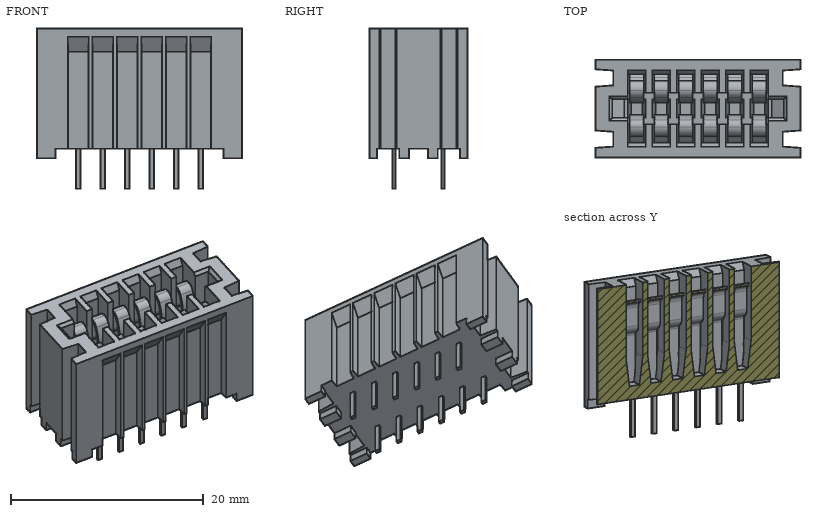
import cadquery as cq
import math


length = 21.3
width = 10.16
height = 13.5
foot_height = 1.0
foot_length = 1.95
outer_foot_width = 0.8
inner_foot_inner_y = 0.98
inner_foot_outer_y = 2.0

notch_depth = 1.86
notch_mouth = (2.28, 4.06)
notch_bottom = (2.42, 3.93)

contact_count = 6
contact_pitch = 2.54
row_y = 2.54
contact_x = [(i - (contact_count - 1) / 2) * contact_pitch for i in range(contact_count)]

card_slot_length = 17.74
card_slot_width = 1.92
card_slot_chamfer_x = 0.35
card_slot_chamfer_y = 0.3
card_slot_chamfer_height = 0.33
card_stop_z = 5.5
end_ramp_length = 1.2
end_ramp_angle = 30

cavity_width = 1.9
cavity_outer_y = 3.56
cavity_mouth_y = 3.98
cavity_mouth_height = 0.78
rib_gap_half_width = 1.62
well_floor_width = 1.12
well_depth = 3.0
well_floor_z = card_stop_z - well_depth

groove_mouth_width = 2.2
groove_back_width = 2.05
groove_depth = 0.91
groove_top_z = height - 0.87
groove_slope_height = 1.57

strip_width = 1.45
strip_thickness = 0.3
hump_y = 1.91
hump_outer_radius = 0.8
hump_inner_radius = 0.71
hump_top_z = height - 1.76 - strip_thickness / 2
hump_inner_angle = 62
arm_innermost_y = 0.62 + strip_thickness / 2
jog_angle = 62
jog_upper_radius = 0.85
hump_leg_length = 2.0

pin_width = 0.48
pin_thickness = 0.32
pin_length = 3.15


def centred_box(size_x, size_y, z_low, z_high, x=0, y=0):
    block = cq.Workplane("XY").box(size_x, size_y, z_high - z_low, centered=(True, True, False))
    return block.translate((x, y, z_low))


def both_rows(solid):
    return solid.union(solid.mirror("XZ"))


def at_every_contact(solid):
    places = cq.Workplane("XY").pushPoints([(x, 0) for x in contact_x])
    return places.eachpoint(lambda place: solid.val().moved(place), combine=True)


def housing_blank():
    body = centred_box(length, width, foot_height, height)
    outer_foot_y = width / 2 - outer_foot_width / 2
    inner_foot_y = (inner_foot_inner_y + inner_foot_outer_y) / 2
    inner_foot_width = inner_foot_outer_y - inner_foot_inner_y
    foot_x = (length - foot_length) / 2
    for x in (-foot_x, foot_x):
        for y, foot_width in ((outer_foot_y, outer_foot_width), (inner_foot_y, inner_foot_width)):
            body = body.union(both_rows(centred_box(foot_length, foot_width, 0, foot_height, x, y)))
    return body


def end_notches():
    mouth_x = length / 2
    bottom_x = mouth_x - notch_depth
    outline = [
        (mouth_x, notch_mouth[0]),
        (mouth_x, notch_mouth[1]),
        (bottom_x, notch_bottom[1]),
        (bottom_x, notch_bottom[0]),
    ]
    notch = both_rows(cq.Workplane("XY").polyline(outline).close().extrude(height))
    return notch.union(notch.mirror("YZ"))


def card_slot():
    slot = centred_box(card_slot_length, card_slot_width, card_stop_z, height)
    mouth_length = card_slot_length + 2 * card_slot_chamfer_x
    mouth_width = card_slot_width + 2 * card_slot_chamfer_y
    lead_in = (
        cq.Workplane("XY", origin=(0, 0, height - card_slot_chamfer_height))
        .rect(card_slot_length, card_slot_width)
        .workplane(offset=card_slot_chamfer_height)
        .rect(mouth_length, mouth_width)
        .loft()
    )
    end_x = card_slot_length / 2
    ramp_rise = end_ramp_length * math.tan(math.radians(end_ramp_angle))
    ramp_outline = [
        (end_x, card_stop_z),
        (end_x, card_stop_z + ramp_rise),
        (end_x - end_ramp_length, card_stop_z),
    ]
    ramp = cq.Workplane("XZ").polyline(ramp_outline).close().extrude(card_slot_width / 2, both=True)
    return slot.union(lead_in).cut(ramp).cut(ramp.mirror("YZ"))


def rib_gap():
    """Opening between the rib ends of the two rows, above the card stop."""
    gap_length = (contact_count - 1) * contact_pitch + cavity_width
    return centred_box(gap_length, 2 * rib_gap_half_width, card_stop_z, height)


def cavity():
    """Upper part of one cavity, crossing both rows, with sloped mouths at the outer walls."""
    outline = [
        (0, card_stop_z),
        (cavity_outer_y, card_stop_z),
        (cavity_outer_y, height - cavity_mouth_height),
        (cavity_mouth_y, height),
        (0, height),
    ]
    half = cq.Workplane("YZ").polyline(outline).close().extrude(cavity_width / 2, both=True)
    return both_rows(half)


def well(y_low, y_high):
    """Lower part of a cavity, whose side walls close in towards the floor."""
    outline = [
        (-cavity_width / 2, card_stop_z),
        (cavity_width / 2, card_stop_z),
        (well_floor_width / 2, well_floor_z),
        (-well_floor_width / 2, well_floor_z),
    ]
    section = cq.Workplane("XZ", origin=(0, y_high, 0)).polyline(outline).close()
    return section.extrude(y_high - y_low)


def side_groove():
    mouth_y = width / 2
    back_y = mouth_y - groove_depth
    plan = [
        (-groove_mouth_width / 2, mouth_y),
        (groove_mouth_width / 2, mouth_y),
        (groove_back_width / 2, back_y),
        (-groove_back_width / 2, back_y),
    ]
    side = [
        (mouth_y, foot_height),
        (mouth_y, groove_top_z),
        (back_y, groove_top_z - groove_slope_height),
        (back_y, foot_height),
    ]
    channel = cq.Workplane("XY").polyline(plan).close().extrude(height)
    limits = cq.Workplane("YZ").polyline(side).close().extrude(groove_mouth_width, both=True)
    return both_rows(channel.intersect(limits))


def spring_contact():
    """Strip rising along the outer wall, jogging inwards, arching over and hanging down."""
    leg_y = cavity_outer_y - strip_thickness / 2
    hump_outer_y = hump_y + hump_outer_radius
    hump_outer_z = hump_top_z - hump_outer_radius

    jog_top_z = hump_outer_z - hump_leg_length
    jog_cos = math.cos(math.radians(jog_angle))
    jog_sin = math.sin(math.radians(jog_angle))
    lower_jog_radius = (leg_y - hump_outer_y) / (1 - jog_cos) - jog_upper_radius
    jog_middle_y = hump_outer_y + jog_upper_radius * (1 - jog_cos)
    jog_middle_z = jog_top_z - jog_upper_radius * jog_sin
    jog_bottom_z = jog_middle_z - lower_jog_radius * jog_sin

    inner_sin = math.sin(math.radians(hump_inner_angle))
    inner_cos = math.cos(math.radians(hump_inner_angle))
    hump_inner_y = hump_y - hump_inner_radius * inner_sin
    hump_inner_z = hump_top_z - hump_inner_radius * (1 - inner_cos)
    arm_radius = (hump_inner_y - arm_innermost_y) / (1 - inner_sin)
    arm_middle_z = hump_inner_z - arm_radius * inner_cos
    arm_tip_z = 2 * arm_middle_z - hump_inner_z

    path = (
        cq.Workplane("YZ")
        .moveTo(leg_y, well_floor_z)
        .lineTo(leg_y, jog_bottom_z)
        .tangentArcPoint((jog_middle_y, jog_middle_z), relative=False)
        .tangentArcPoint((hump_outer_y, jog_top_z), relative=False)
        .lineTo(hump_outer_y, hump_outer_z)
        .tangentArcPoint((hump_y, hump_top_z), relative=False)
        .tangentArcPoint((hump_inner_y, hump_inner_z), relative=False)
        .tangentArcPoint((hump_inner_y, arm_tip_z), relative=False)
    )
    section = cq.Workplane("XY", origin=(0, leg_y, well_floor_z)).rect(strip_width, strip_thickness)
    return both_rows(section.sweep(path))


def solder_pin():
    return both_rows(centred_box(pin_width, pin_thickness, -pin_length, foot_height, y=row_y))


result = housing_blank().cut(end_notches()).cut(card_slot()).cut(rib_gap())
result = result.cut(at_every_contact(cavity()))
result = result.cut(at_every_contact(well(-card_slot_width / 2, card_slot_width / 2)))
result = result.cut(at_every_contact(both_rows(well(rib_gap_half_width, cavity_outer_y))))
result = result.cut(at_every_contact(side_groove()))
result = result.union(at_every_contact(spring_contact()))
result = result.union(at_every_contact(solder_pin()))